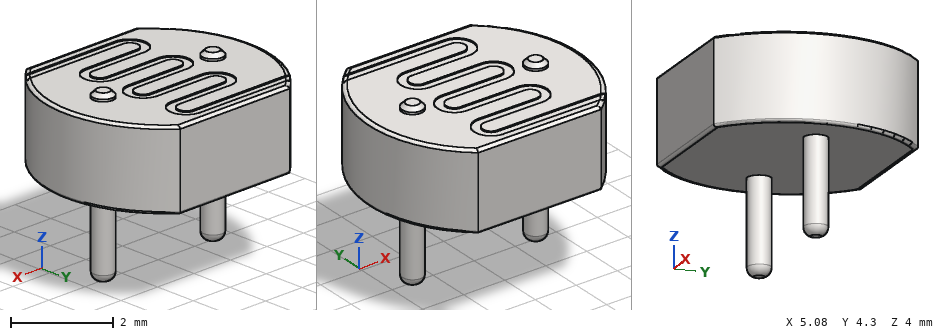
import cadquery as cq
import math

length = 5.08
width = 4.3
body_height = 1.85
half_length = length / 2
half_width = width / 2

pin_offset = 1.5
pin_radius = 0.25
pin_below = 2.0
pin_above = 0.145
pin_top_chamfer = 0.095
pin_tip_height = 0.195
pin_tip_inset = 0.135

end_sagitta = half_length - pin_offset
end_radius = (end_sagitta**2 + half_width**2) / (2 * end_sagitta)
end_center = half_length - end_radius

wall = 0.095
top_round_height = 0.05
bottom_round = 0.06

groove_width = 0.2
groove_depth = 0.03
lane_pitch = 0.6
lane_count = 7
bend_offset = 0.7


def side_profile(reach):
    """Half section from the axis to a side at the given reach, with rounded rim edges."""
    top_arc_radius = (wall**2 + top_round_height**2) / (2 * top_round_height)
    mid_inset = wall / 2
    mid_drop = top_arc_radius - math.sqrt(top_arc_radius**2 - mid_inset**2)
    return (
        cq.Workplane("XZ")
        .lineTo(reach - bottom_round, 0)
        .radiusArc((reach, bottom_round), -bottom_round)
        .lineTo(reach, body_height - top_round_height)
        .threePointArc((reach - mid_inset, body_height - mid_drop), (reach - wall, body_height))
        .lineTo(0, body_height)
        .close()
    )


def make_envelope():
    """Rounded outer form: two revolved ends and a slab with rounded flats, intersected."""
    end = side_profile(end_radius).revolve(360, (0, 0, 0), (0, 1, 0))
    half_slab = side_profile(half_width).extrude(half_length, both=True)
    half_slab = half_slab.rotate((0, 0, 0), (0, 0, 1), 90)
    slab = half_slab.union(half_slab.mirror("XZ"))
    right_end = end.translate((end_center, 0, 0))
    left_end = end.translate((-end_center, 0, 0))
    return right_end.intersect(left_end).intersect(slab)


def make_core_blank():
    """Upright block bounded by the inner face of the shell."""
    return (
        cq.Workplane("XY")
        .moveTo(-pin_offset, -half_width)
        .lineTo(pin_offset, -half_width)
        .threePointArc((half_length, 0), (pin_offset, half_width))
        .lineTo(-pin_offset, half_width)
        .threePointArc((-half_length, 0), (-pin_offset, -half_width))
        .close()
        .offset2D(-wall, "intersection")
        .extrude(body_height)
    )


def make_groove():
    """Serpentine cutter that enters at the left end and leaves at the right end."""
    floor = body_height - groove_depth
    first_lane = lane_pitch * (lane_count - 1) / 2
    bend_outer = (lane_pitch + groove_width) / 2
    bend_inner = (lane_pitch - groove_width) / 2
    level = cq.Workplane("XY", origin=(0, 0, floor))
    groove = None
    for lane in range(lane_count):
        y = first_lane - lane * lane_pitch
        left = -half_length if lane == 0 else -bend_offset
        right = half_length if lane == lane_count - 1 else bend_offset
        strip = level.center((left + right) / 2, y).rect(right - left, groove_width).extrude(groove_depth)
        groove = strip if groove is None else groove.union(strip)
    for bend in range(lane_count - 1):
        side = 1 if bend % 2 == 0 else -1
        y = first_lane - (bend + 0.5) * lane_pitch
        ring = level.center(side * bend_offset, y).circle(bend_outer).circle(bend_inner).extrude(groove_depth)
        outer_half = (
            level.center(side * (bend_offset + bend_outer / 2), y)
            .rect(bend_outer, 2 * bend_outer)
            .extrude(groove_depth)
        )
        groove = groove.union(ring.intersect(outer_half))
    return groove


def make_pin(x):
    """Round pin with a coned head and a rounded tip."""
    top = body_height + pin_above
    tip_radius = pin_radius - pin_tip_inset
    return (
        cq.Workplane("XZ")
        .moveTo(0, -pin_below)
        .lineTo(0, top)
        .lineTo(pin_radius - pin_top_chamfer, top)
        .lineTo(pin_radius, top - pin_top_chamfer)
        .lineTo(pin_radius, pin_tip_height - pin_below)
        .tangentArcPoint((tip_radius, -pin_below), relative=False)
        .close()
        .revolve(360, (0, 0, 0), (0, 1, 0))
        .translate((x, 0, 0))
    )


envelope = make_envelope()
core_blank = make_core_blank()
groove = make_groove()

shell = envelope.cut(core_blank).cut(groove)

core = core_blank.cut(groove)
pins = []
for pin_x in (-pin_offset, pin_offset):
    pin = make_pin(pin_x)
    core = core.cut(pin)
    pins.append(pin.val())

result = cq.Compound.makeCompound([*shell.vals(), *core.vals(), *pins])